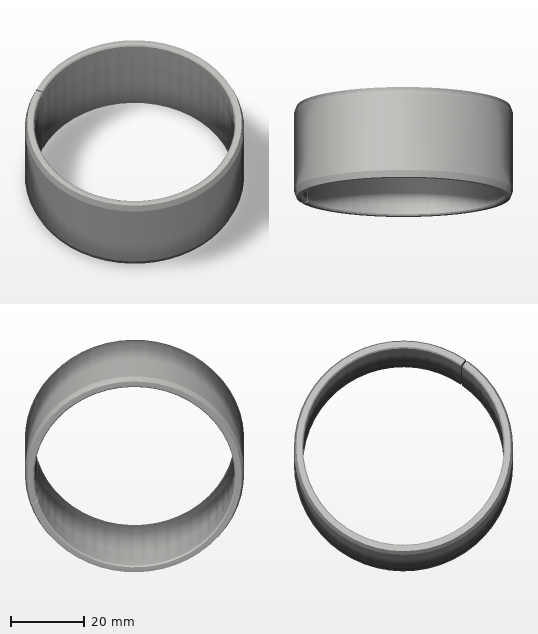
import cadquery as cq
import math

outer_diameter = 60.0
wall = 2.5
height = 25.0
outer_chamfer_height = 1.8
outer_chamfer_angle = 20.0
inner_chamfer = 0.35
slit_width = 0.5

outer_radius = outer_diameter / 2
inner_radius = outer_radius - wall
outer_chamfer_depth = outer_chamfer_height * math.tan(math.radians(outer_chamfer_angle))
end_outer_radius = outer_radius - outer_chamfer_depth
end_inner_radius = inner_radius + inner_chamfer


def make_sleeve():
    """Revolve the wall section, chamfered inside and outside at both ends."""
    section = (
        cq.Workplane("XZ")
        .moveTo(end_inner_radius, 0)
        .lineTo(end_outer_radius, 0)
        .lineTo(outer_radius, outer_chamfer_height)
        .lineTo(outer_radius, height - outer_chamfer_height)
        .lineTo(end_outer_radius, height)
        .lineTo(end_inner_radius, height)
        .lineTo(inner_radius, height - inner_chamfer)
        .lineTo(inner_radius, inner_chamfer)
        .close()
    )
    return section.revolve(360, (0, 0, 0), (0, 1, 0))


def make_slit():
    """Full-height block on the -X side, with one face on the XZ plane."""
    return cq.Workplane("XY").box(
        outer_radius, slit_width, height, centered=False
    ).translate((-outer_radius, 0, 0))


result = make_sleeve().cut(make_slit())